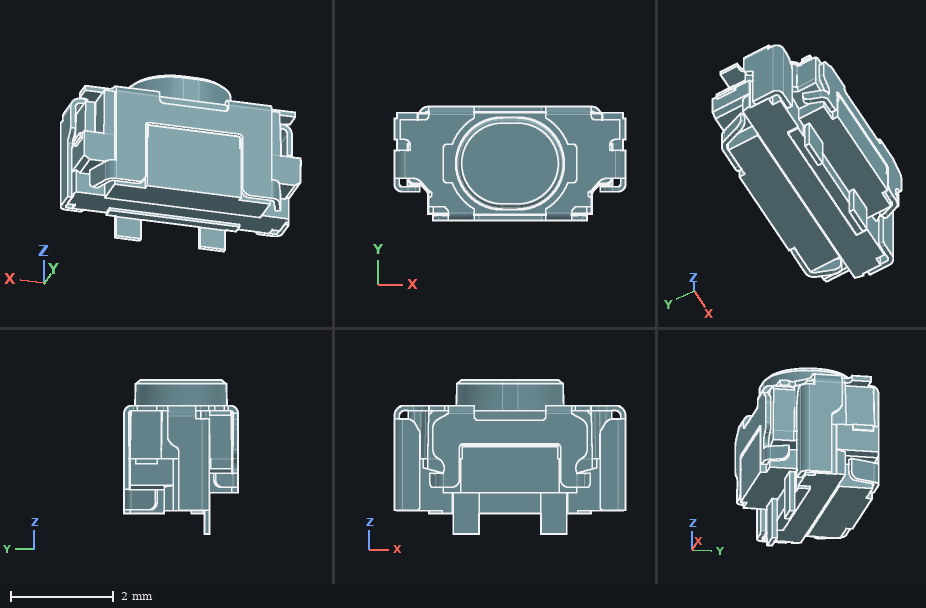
import cadquery as cq
import math


half_length = 4.50 / 2
half_width = 2.22 / 2
button_top_z = 2.60
pin_bottom_z = -0.40
sheet = 0.10

cover_z = 2.10
body_z = cover_z - sheet
wall_bend = 0.15
side_bend = 0.20
ledge_z = 1.064
seat_z = 0.05

wall_gap = 0.02
body_half_width = half_width - sheet - wall_gap
front_step_y = -0.43
front_block_x = 1.60
rear_block_x = 1.58
upper_x = 2.00
upper_front_y = -0.405
upper_corner = 0.12
flank_x = 1.75
flank_front_y = -0.564
ledge_flank_x = 1.69
upper_rear_x = 1.80
upper_rear_y = 0.385
draft_angle = 1.2
top_bevel_x, top_bevel_z = 0.085, 0.085
wing_x = 2.20
wing_front_y = 0.155
lower_x = 2.16
lower_front_y = -0.25
rear_foot_y = 0.33
front_foot_x = 1.32
front_foot_rear_y = -0.195
front_core_x = 1.296
front_core_z = 0.40
pad_x = 0.957
pad_upper_x = 0.93
pad_z, pad_root_z = 1.30, 1.325
pin_seat_x, pin_seat_y = 1.127, -0.44

notch_x = 0.70
notch_z = 1.81
notch_radius = 0.09
front_wall_x = 1.50
front_bend_x = 1.20
rear_wall_x = rear_block_x
window_x = 0.983
window_z = 1.356
window_corner = 0.07
leg_corner = 0.16
hook_angle = math.radians(70)
front_hook_bend, rear_hook_bend = 0.15, 0.20
hook_corner = 0.15
arm_rear_y, arm_front_y = 0.255, -0.29
arm_bottom_z = 0.06
arm_top_z = 1.84
flange_front_y = -0.55
flange_end_x = 1.755
flange_corner = 0.06
corner_bend = 0.15
tail_x, tail_rear_y = 2.136, 0.85
tail_relief = 0.08
relief_x, relief_rear_y = 1.94, 0.47
relief_radius = 0.12
opening_radius = 1.04
opening_x, opening_y = 1.296, 0.375
opening_corner = 0.07

button_flat = 0.31
button_levels = [
    (body_z, 0.902),
    (2.52, 0.885),
    (2.545, 0.852),
    (2.59, 0.80),
    (button_top_z, 0.784),
]
pin_x, pin_width = 0.855, 0.505
pin_front_y = -0.557


def block(x0, x1, y0, y1, z0, z1):
    return cq.Workplane("XY").box(x1 - x0, y1 - y0, z1 - z0, centered=False).translate((x0, y0, z0))


def centred_block(half_x, y0, y1, z0, z1):
    return block(-half_x, half_x, y0, y1, z0, z1)


def prism(outline, z0, z1):
    return cq.Workplane("XY").workplane(offset=z0).polyline(outline).close().extrude(z1 - z0)


def xz_prism(outline, y0, y1):
    """Extrude an (x, z) outline from y0 up to y1."""
    return cq.Workplane("XZ", origin=(0, y1, 0)).polyline(outline).close().extrude(y1 - y0)


def both_sides(left_shape):
    return left_shape.union(left_shape.mirror("YZ"))


def mirrored_outline(left_points):
    """Close a left-hand outline, listed from rear to front, over the YZ plane."""
    return left_points + [(-x, y) for x, y in reversed(left_points)]


def bend_along_x(x0, x1, side):
    """Quarter-round bend from the cover plate into the front (-1) or rear (1) wall."""
    axis_y = side * (half_width - wall_bend)
    axis_z = cover_z - wall_bend
    ring = cq.Workplane("YZ", origin=(x0, axis_y, axis_z)).circle(wall_bend)
    ring = ring.circle(wall_bend - sheet).extrude(x1 - x0)
    y0, y1 = sorted((axis_y, side * half_width))
    return ring.intersect(block(x0, x1, y0, y1, axis_z, cover_z))


def side_bend_along_y(y0, y1):
    """Quarter-round bend from the cover plate into the left arm."""
    axis_x = side_bend - half_length
    axis_z = cover_z - side_bend
    ring = cq.Workplane("XZ", origin=(axis_x, y1, axis_z)).circle(side_bend)
    ring = ring.circle(side_bend - sheet).extrude(y1 - y0)
    return ring.intersect(block(-half_length, axis_x, y0, y1, axis_z, cover_z))


def upper_body():
    outline = mirrored_outline([
        (-upper_rear_x, body_half_width),
        (-upper_rear_x, upper_rear_y),
        (-upper_x, upper_rear_y),
        (-upper_x, upper_front_y),
        (-flank_x, upper_front_y),
        (-1.66, -0.495),
        (-front_block_x, flank_front_y),
        (-front_block_x, -body_half_width),
    ])
    height = body_z - ledge_z
    body = cq.Workplane("XY").workplane(offset=ledge_z).polyline(outline).close()
    body = body.extrude(height, taper=draft_angle)
    for side in (-1, 1):
        front_corner = (side * upper_x, upper_front_y, ledge_z + height / 2)
        body = body.edges(cq.NearestToPointSelector(front_corner)).fillet(upper_corner)
    edge_x = front_block_x - height * math.tan(math.radians(draft_angle))
    bevel = xz_prism([
        (-edge_x - top_bevel_x, body_z - 2 * top_bevel_z),
        (-edge_x - top_bevel_x, body_z),
        (-edge_x + top_bevel_x, body_z),
    ], -half_width, flank_front_y)
    middle = centred_block(front_bend_x, -body_half_width, body_half_width, ledge_z, body_z)
    return body.cut(both_sides(bevel)).union(middle)


def front_ledge():
    """Slab under the forward upper body; its underside slopes down to the middle."""
    outer_z, inner_z = 0.975, 0.785
    outline = mirrored_outline([
        (-upper_x, upper_rear_y),
        (-upper_x, front_step_y),
        (-ledge_flank_x, front_step_y),
        (-front_block_x, -0.578),
        (-front_block_x, -body_half_width),
    ])
    slope = xz_prism([
        (-upper_x, ledge_z),
        (-upper_x, outer_z),
        (-front_core_x, inner_z),
        (front_core_x, inner_z),
        (upper_x, outer_z),
        (upper_x, ledge_z),
    ], -half_width, half_width)
    return prism(outline, 0, ledge_z).intersect(slope)


def rear_wings():
    """Wings with a sloping underside, each with a small pad on its end face."""
    outer_z, inner_z = 0.546, 0.465
    slope_end_x = 2.085
    wings = xz_prism([
        (-wing_x, ledge_z),
        (-wing_x, outer_z),
        (-slope_end_x, inner_z),
        (slope_end_x, inner_z),
        (wing_x, outer_z),
        (wing_x, ledge_z),
    ], wing_front_y, body_half_width)
    pad_y0, pad_y1, pad_height = 0.466, 0.876, 0.10
    end_pad = block(-half_length, -wing_x, pad_y0, pad_y1, ledge_z - pad_height, ledge_z)
    return wings.union(both_sides(end_pad))


def lower_body():
    outline = mirrored_outline([
        (-lower_x, rear_foot_y),
        (-wing_x, wing_front_y),
        (-lower_x, wing_front_y),
        (-lower_x, lower_front_y),
        (-upper_x, lower_front_y),
        (-upper_x, front_step_y),
    ])
    body = prism(outline, seat_z, ledge_z)
    body = body.union(centred_block(rear_block_x, rear_foot_y, body_half_width, 0, ledge_z))
    body = body.union(centred_block(front_foot_x, front_step_y, front_foot_rear_y, 0, ledge_z))
    return body.union(centred_block(pin_seat_x, pin_seat_y, front_foot_rear_y, 0, ledge_z))


def wall_pad(bottom_z, root_y):
    """Pad standing in the front wall window, stepped at the ledge."""
    lower = centred_block(pad_x, -half_width, root_y, bottom_z, ledge_z)
    upper = (
        cq.Workplane("YZ", origin=(-pad_upper_x, 0, 0))
        .moveTo(root_y, ledge_z)
        .lineTo(-half_width, ledge_z)
        .lineTo(-half_width, pad_z)
        .lineTo(-body_half_width, pad_root_z)
        .lineTo(root_y, pad_root_z)
        .close()
        .extrude(2 * pad_upper_x)
    )
    return lower.union(upper)


def front_and_rear_pads():
    core = centred_block(front_core_x, -body_half_width, 0, front_core_z, ledge_z)
    front_pad = wall_pad(front_core_z, 0)
    rear_pad = wall_pad(0, -rear_foot_y).mirror("XZ")
    return core.union(front_pad).union(rear_pad)


def cover_plate():
    edge_y = half_width - wall_bend
    arm_x = half_length - side_bend
    left = (
        cq.Workplane("XY", origin=(0, 0, body_z))
        .moveTo(0, edge_y)
        .lineTo(-rear_wall_x, edge_y)
        .lineTo(-rear_wall_x, tail_rear_y + tail_relief)
        .radiusArc((-rear_wall_x - tail_relief, tail_rear_y), tail_relief)
        .lineTo(-tail_x, tail_rear_y)
        .lineTo(-tail_x, arm_rear_y)
        .lineTo(-arm_x, arm_rear_y)
        .lineTo(-arm_x, arm_front_y)
        .lineTo(-1.88, arm_front_y)
        .threePointArc((-1.79, -0.312), (-1.72, -0.37))
        .lineTo(-1.57, -0.54)
        .threePointArc((-1.52, -0.60), (-rear_wall_x, -0.66))
        .lineTo(-rear_wall_x, -0.845)
        .lineTo(-1.27, -0.845)
        .lineTo(-front_bend_x, -0.92)
        .lineTo(-front_bend_x, -edge_y)
        .lineTo(0, -edge_y)
        .close()
        .extrude(sheet)
    )
    relief = block(-half_length, -relief_x, arm_rear_y, relief_rear_y, body_z, cover_z)
    relief = relief.edges("|Z and >X and >Y").fillet(relief_radius)
    return both_sides(left.cut(relief)).cut(button_opening())


def button_opening():
    """Oval opening with a square lobe at each end, open into both wall notches."""
    oval = oval_layer(body_z, cover_z, opening_radius, opening_radius)
    lobes = centred_block(opening_x, -opening_y, opening_y, body_z, cover_z)
    lobes = lobes.edges("|Z").fillet(opening_corner)
    notch = centred_block(notch_x, -half_width, half_width, body_z, cover_z)
    return oval.union(lobes).union(notch)


def wall_notch(side):
    y0, y1 = sorted((0, side * half_width))
    notch = centred_block(notch_x, y0, y1, notch_z, cover_z)
    return notch.edges("|Y and <Z").fillet(notch_radius)


def wall_window(side, bottom_z):
    y0, y1 = sorted((side * (half_width - sheet), side * half_width))
    window = centred_block(window_x, y0, y1, 0, window_z)
    window = window.edges("|Y and >Z").fillet(window_corner)
    flare_z = bottom_z + leg_corner
    flare_x = window_x + leg_corner
    flare = xz_prism([
        (-window_x, bottom_z),
        (-flare_x, bottom_z),
        (-flare_x, flare_z),
        (-window_x, flare_z),
    ], y0, y1)
    round_leg = cq.Workplane("XZ", origin=(-flare_x, y1, flare_z)).circle(leg_corner).extrude(sheet)
    return window.union(both_sides(flare.cut(round_leg)))


def hook(start_x, bend, bottom_z, top_z, length):
    """Left front leg end, bent rearwards through the hook angle."""
    inner = bend - sheet
    cos_a, sin_a = math.cos(hook_angle), math.sin(hook_angle)
    axis_y = bend - half_width

    def on_bend(radius, angle):
        return (start_x - radius * math.sin(angle), axis_y - radius * math.cos(angle))

    def past_bend(radius):
        x, y = on_bend(radius, hook_angle)
        return (x - length * cos_a, y + length * sin_a)

    section = cq.Workplane("XY").workplane(offset=bottom_z).moveTo(start_x, -half_width)
    section = section.threePointArc(on_bend(bend, hook_angle / 2), on_bend(bend, hook_angle))
    section = section.lineTo(*past_bend(bend)).lineTo(*past_bend(inner))
    section = section.lineTo(*on_bend(inner, hook_angle))
    section = section.threePointArc(on_bend(inner, hook_angle / 2), (start_x, -half_width + sheet))
    strip = section.close().extrude(top_z - bottom_z)
    corner = cq.selectors.NearestToPointSelector((*past_bend(bend / 2), bottom_z))
    return strip.edges("not |Z").edges(corner).fillet(hook_corner)


def front_wall():
    bottom_z = 0.51
    hook_top_z = 0.78
    hook_x = -1.30
    hook_length = 0.36
    neck_x = 1.28
    y_in, y_out = sheet - half_width, -half_width
    top_z = cover_z - wall_bend
    left = (
        cq.Workplane("XZ", origin=(0, y_in, 0))
        .moveTo(0, top_z)
        .lineTo(-front_bend_x, top_z)
        .lineTo(-1.40, 1.83)
        .threePointArc((-1.474, 1.76), (-front_wall_x, 1.65))
        .lineTo(-front_wall_x, 1.25)
        .threePointArc((-1.47, 1.14), (-1.40, 1.073))
        .threePointArc((-1.31, 0.99), (-neck_x, 0.86))
        .lineTo(hook_x, hook_top_z)
        .lineTo(hook_x, bottom_z)
        .lineTo(0, bottom_z)
        .close()
        .extrude(y_in - y_out)
    )
    left = left.union(hook(hook_x, front_hook_bend, bottom_z, hook_top_z, hook_length))
    wall = both_sides(left.union(bend_along_x(-front_bend_x, 0, -1)))
    return wall.cut(wall_notch(-1)).cut(wall_window(-1, bottom_z))


def rear_wall():
    bottom_z = 0.07
    hook_top_z = 0.47
    hook_length = 0.51
    y_in = half_width - sheet
    wall = centred_block(rear_wall_x, y_in, half_width, bottom_z, cover_z - wall_bend)
    wall = wall.union(bend_along_x(-rear_wall_x, rear_wall_x, 1))
    rear_hook = hook(-rear_wall_x, rear_hook_bend, bottom_z, hook_top_z, hook_length).mirror("XZ")
    wall = wall.union(both_sides(rear_hook))
    return wall.cut(wall_notch(1)).cut(wall_window(1, bottom_z))


def arm_corner():
    """Upright strip that wraps from the left arm round to the front flange."""
    axis_x = corner_bend - half_length
    axis_y = flange_front_y + corner_bend
    height = arm_top_z - arm_bottom_z
    ring = cq.Workplane("XY").workplane(offset=arm_bottom_z).center(axis_x, axis_y)
    ring = ring.circle(corner_bend).circle(corner_bend - sheet).extrude(height)
    corner = block(-half_length, axis_x, flange_front_y, axis_y, arm_bottom_z, arm_top_z)
    return ring.intersect(corner)


def front_flange():
    start_x = corner_bend - half_length
    return (
        cq.Workplane("XZ", origin=(0, flange_front_y + sheet, 0))
        .moveTo(start_x, arm_bottom_z)
        .lineTo(-flange_end_x - flange_corner, arm_bottom_z)
        .radiusArc((-flange_end_x, arm_bottom_z + flange_corner), -flange_corner)
        .lineTo(-flange_end_x, 1.59)
        .lineTo(-1.84, 1.74)
        .threePointArc((-1.89, 1.80), (-1.99, arm_top_z))
        .lineTo(start_x, arm_top_z)
        .close()
        .extrude(sheet)
    )


def side_arm():
    """Left arm hanging from the cover plate, with its wrapped corner and flange."""
    corner_y = flange_front_y + corner_bend
    lower_rear_y = 0.046
    arm = (
        cq.Workplane("YZ", origin=(-half_length, 0, 0))
        .moveTo(corner_y, arm_bottom_z)
        .lineTo(lower_rear_y, arm_bottom_z)
        .lineTo(lower_rear_y, 1.22)
        .threePointArc((0.065, 1.265), (0.11, 1.30))
        .threePointArc((0.19, 1.36), (arm_rear_y, 1.45))
        .lineTo(arm_rear_y, cover_z - side_bend)
        .lineTo(arm_front_y, cover_z - side_bend)
        .lineTo(arm_front_y, arm_top_z)
        .lineTo(corner_y, arm_top_z)
        .close()
        .extrude(sheet)
    )
    arm = arm.union(side_bend_along_y(arm_front_y, arm_rear_y))
    return arm.union(arm_corner()).union(front_flange())


def oval_layer(z0, z1, radius0, radius1):
    taper = math.degrees(math.atan((radius0 - radius1) / (z1 - z0)))
    oval = cq.Workplane("XY").workplane(offset=z0).slot2D(button_flat + 2 * radius0, 2 * radius0)
    return oval.extrude(z1 - z0, taper=taper)


def button():
    layers = [
        oval_layer(z0, z1, radius0, radius1)
        for (z0, radius0), (z1, radius1) in zip(button_levels, button_levels[1:])
    ]
    shape = layers[0]
    for layer in layers[1:]:
        shape = shape.union(layer)
    return shape


def pins():
    x0 = -pin_x - pin_width / 2
    pin = block(x0, x0 + pin_width, pin_front_y, pin_front_y + sheet, pin_bottom_z, front_core_z)
    return both_sides(pin)


body = lower_body().union(upper_body()).union(front_ledge())
body = body.union(rear_wings()).union(front_and_rear_pads())
cover = cover_plate().union(front_wall()).union(rear_wall()).union(both_sides(side_arm()))
result = body.union(cover).union(button()).union(pins())